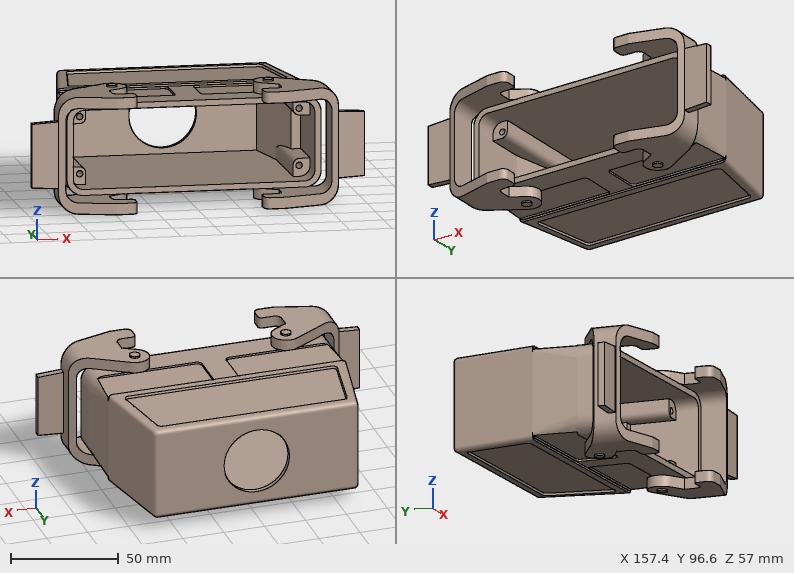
import cadquery as cq
import math


RIM_HALF_WIDTH = 60.1
RIM_HALF_HEIGHT = 21.5
RIM_RADIUS = 7.7
COLLAR_TOP = 11.5
SHOULDER_Y = 34.3
BAND_HEIGHT = 0.5
BLOCK_Y = SHOULDER_Y + BAND_HEIGHT
SHOULDER_HALF_WIDTH = 58.2
SHOULDER_RADIUS = 2.2
BLOCK_HALF_HEIGHT = 22.5
END_Y = 78.5
END_HALF_WIDTH = 49.7
BLOCK_FILLET = 2.0
SIDE_SLOPE = (SHOULDER_HALF_WIDTH - END_HALF_WIDTH) / (END_Y - BLOCK_Y)

CAVITY_HALF_WIDTH = 57.1
CAVITY_HALF_HEIGHT = 18.7
CAVITY_RADIUS = 5.0
CAVITY_FLOOR_Y = 76.2
FLOOR_LEFT_X = -48.3
FLOOR_RIGHT_X = 44.4
CABLE_HOLE_DIAMETER = 32.0

POST_INNER_X = 49.1
POST_INNER_Z = 10.2
POST_RADIUS = 3.0
POST_FACE_Y = COLLAR_TOP
SCREW_X = 52.0
SCREW_Z = 13.5
SCREW_DIAMETER = 3.0
SCREW_DEPTH = 12.6

LABEL_BOTTOM_Y = 39.2
LABEL_TOP_Y = 73.0
LABEL_BOTTOM_HALF_WIDTH = 51.8
LABEL_TOP_HALF_WIDTH = 45.8
LABEL_RADIUS = 1.9
LABEL_DEPTH = 1.1
LABEL_DRAFT = 20
GRIP_BOTTOM_Y = 13.4
GRIP_INNER_X = 6.0
GRIP_RADIUS = 2.4
GRIP_DEPTH = 1.0

PIVOT_X = 37.0
PIVOT_Y = 9.9
PIN_DIAMETER = 4.9
PIN_END_Z = 28.5
EYE_RADIUS = 7.0
LEVER_HALF_HEIGHT = 27.7
ARM_THICKNESS = 5.4
LEVER_END_X = 66.3
BRIDGE_THICKNESS = 3.3
BEND_OUTER_RADIUS = 9.1
BEND_INNER_RADIUS = BEND_OUTER_RADIUS - BRIDGE_THICKNESS
BRIDGE_TOP_Y = 0.3
BRIDGE_BOTTOM_Y = -10.7
HOOK_BOTTOM_Y = -18.1
HOOK_HEEL_X = 40.0
HOOK_TOP_Y = -9.0
HOOK_TOE_RADIUS = 3.0
HOOK_LIP_RADIUS = 1.9
SLOT_X = 40.1
SLOT_RADIUS = 3.0

TAB_END_X = 78.7
TAB_TOP_Y = -7.0
TAB_THICKNESS = 3.5
TAB_ROOT_HALF_HEIGHT = 15.9
TAB_END_HALF_HEIGHT = 15.1


def both_signs(half):
    return (-half, half)


def prism_z(points, z_low, z_high):
    """Outline in the XY plane, extruded from z_low to z_high."""
    return cq.Workplane("XY", origin=(0, 0, z_low)).polyline(points).close().extrude(z_high - z_low)


def mirrored_z(shape):
    return shape.union(shape.mirror("XY"))


def mirrored_x(shape):
    return shape.union(shape.mirror("YZ"))


def rounded_outline(half_width, half_height, radius):
    return cq.Sketch().rect(2 * half_width, 2 * half_height).vertices().fillet(radius)


def make_outer_hood():
    rim = rounded_outline(RIM_HALF_WIDTH, RIM_HALF_HEIGHT, RIM_RADIUS)
    shoulder = rounded_outline(SHOULDER_HALF_WIDTH, RIM_HALF_HEIGHT, SHOULDER_RADIUS)
    collar = cq.Workplane("XZ").placeSketch(rim).extrude(-COLLAR_TOP)
    neck_offset = cq.Location(cq.Vector(0, 0, COLLAR_TOP - SHOULDER_Y))
    neck = (
        cq.Workplane("XZ", origin=(0, COLLAR_TOP, 0))
        .placeSketch(rim, shoulder.moved(neck_offset))
        .loft()
    )
    band = cq.Workplane("XZ", origin=(0, SHOULDER_Y, 0)).placeSketch(shoulder).extrude(-BAND_HEIGHT)
    block = prism_z(
        [
            (-SHOULDER_HALF_WIDTH, BLOCK_Y),
            (SHOULDER_HALF_WIDTH, BLOCK_Y),
            (END_HALF_WIDTH, END_Y),
            (-END_HALF_WIDTH, END_Y),
        ],
        -BLOCK_HALF_HEIGHT,
        BLOCK_HALF_HEIGHT,
    )
    block = block.edges("not(<Y)").fillet(BLOCK_FILLET)
    return collar.union(neck).union(band).union(block)


def make_posts():
    size_x = CAVITY_HALF_WIDTH - POST_INNER_X
    size_z = CAVITY_HALF_HEIGHT - POST_INNER_Z
    post = (
        cq.Workplane("XY")
        .box(size_x, END_Y - POST_FACE_Y, size_z, centered=False)
        .edges("|Y and <X and <Z")
        .fillet(POST_RADIUS)
        .translate((POST_INNER_X, POST_FACE_Y, POST_INNER_Z))
    )
    return mirrored_x(mirrored_z(post))


def make_cavity():
    """Hollow of the hood: both ends slope with the outside, the right one behind a ledge."""
    slope_start_y = CAVITY_FLOOR_Y - (CAVITY_HALF_WIDTH + FLOOR_LEFT_X) / SIDE_SLOPE
    ledge_x = FLOOR_RIGHT_X + SIDE_SLOPE * (CAVITY_FLOOR_Y - SHOULDER_Y)
    hollow = prism_z(
        [
            (-CAVITY_HALF_WIDTH, 0),
            (-CAVITY_HALF_WIDTH, slope_start_y),
            (FLOOR_LEFT_X, CAVITY_FLOOR_Y),
            (FLOOR_RIGHT_X, CAVITY_FLOOR_Y),
            (ledge_x, SHOULDER_Y),
            (CAVITY_HALF_WIDTH, SHOULDER_Y),
            (CAVITY_HALF_WIDTH, 0),
        ],
        -CAVITY_HALF_HEIGHT,
        CAVITY_HALF_HEIGHT,
    )
    hollow = hollow.edges("|Y").fillet(CAVITY_RADIUS)
    return hollow.cut(make_posts())


def make_screw_holes():
    centres = [(x, z) for x in both_signs(SCREW_X) for z in both_signs(SCREW_Z)]
    face = cq.Workplane("XZ", origin=(0, POST_FACE_Y, 0))
    return face.pushPoints(centres).circle(SCREW_DIAMETER / 2).extrude(-SCREW_DEPTH)


def make_label_recesses():
    """Rounded trapezoid with sloping walls, sunk into both broad faces of the block."""
    corners = [
        (-LABEL_BOTTOM_HALF_WIDTH, LABEL_BOTTOM_Y),
        (LABEL_BOTTOM_HALF_WIDTH, LABEL_BOTTOM_Y),
        (LABEL_TOP_HALF_WIDTH, LABEL_TOP_Y),
        (-LABEL_TOP_HALF_WIDTH, LABEL_TOP_Y),
    ]
    floor = cq.Sketch().polygon(corners + corners[:1]).vertices().fillet(LABEL_RADIUS)
    plane = cq.Workplane("XY", origin=(0, 0, BLOCK_HALF_HEIGHT - LABEL_DEPTH))
    return mirrored_z(plane.placeSketch(floor).extrude(LABEL_DEPTH, taper=-LABEL_DRAFT))


def make_grip_recesses():
    """Four panels beside the centre web, open towards the ends of the hood."""
    grip = (
        cq.Workplane("XY")
        .box(RIM_HALF_WIDTH, SHOULDER_Y - GRIP_BOTTOM_Y, GRIP_DEPTH, centered=False)
        .edges("|Z and <X")
        .fillet(GRIP_RADIUS)
        .translate((GRIP_INNER_X, GRIP_BOTTOM_Y, RIM_HALF_HEIGHT - GRIP_DEPTH))
    )
    return mirrored_x(mirrored_z(grip))


def make_hood():
    cable_hole = (
        cq.Workplane("XZ", origin=(0, CAVITY_FLOOR_Y, 0))
        .circle(CABLE_HOLE_DIAMETER / 2)
        .extrude(CAVITY_FLOOR_Y - END_Y)
    )
    hood = make_outer_hood().cut(make_cavity()).cut(cable_hole).cut(make_screw_holes())
    return hood.cut(make_label_recesses()).cut(make_grip_recesses())


def eye_tangent(x, y, turn):
    """Point where the line from (x, y) touches the lever eye; turn = +1 or -1 picks the side."""
    reach = math.hypot(x - PIVOT_X, y - PIVOT_Y)
    angle = math.atan2(y - PIVOT_Y, x - PIVOT_X) + turn * math.acos(EYE_RADIUS / reach)
    return (PIVOT_X + EYE_RADIUS * math.cos(angle), PIVOT_Y + EYE_RADIUS * math.sin(angle))


def make_lever_profile():
    """Side outline of the right lever: eye, bridge edge, hook and slot."""
    hook_tip_x = PIVOT_X - EYE_RADIUS
    upper_tangent = eye_tangent(LEVER_END_X, BRIDGE_TOP_Y, 1)
    lower_tangent = eye_tangent(SLOT_X, 0, -1)
    profile = (
        cq.Workplane("XY", origin=(0, 0, -LEVER_HALF_HEIGHT))
        .moveTo(*upper_tangent)
        .lineTo(LEVER_END_X, BRIDGE_TOP_Y)
        .lineTo(LEVER_END_X, BRIDGE_BOTTOM_Y)
        .lineTo(HOOK_HEEL_X, HOOK_BOTTOM_Y)
        .lineTo(hook_tip_x + HOOK_TOE_RADIUS, HOOK_BOTTOM_Y)
        .radiusArc((hook_tip_x, HOOK_BOTTOM_Y + HOOK_TOE_RADIUS), HOOK_TOE_RADIUS)
        .lineTo(hook_tip_x, HOOK_TOP_Y - HOOK_LIP_RADIUS)
        .radiusArc((hook_tip_x + HOOK_LIP_RADIUS, HOOK_TOP_Y), HOOK_LIP_RADIUS)
        .lineTo(SLOT_X - SLOT_RADIUS, HOOK_TOP_Y)
        .radiusArc((SLOT_X, HOOK_TOP_Y + SLOT_RADIUS), -SLOT_RADIUS)
        .lineTo(SLOT_X, 0)
        .lineTo(*lower_tangent)
        .threePointArc((hook_tip_x, PIVOT_Y), upper_tangent)
        .close()
    )
    return profile.extrude(2 * LEVER_HALF_HEIGHT)


def make_bent_strap():
    """U-shaped strap, thick at the arms and thin at the bridge."""
    top_y = PIVOT_Y + EYE_RADIUS
    depth = top_y - HOOK_BOTTOM_Y

    def bar(end_x, half_height, radius):
        block = cq.Workplane("XY").box(end_x, depth, 2 * half_height, centered=(False, False, True))
        return block.edges("|Y and >X").fillet(radius).translate((0, HOOK_BOTTOM_Y, 0))

    outside = bar(LEVER_END_X, LEVER_HALF_HEIGHT, BEND_OUTER_RADIUS)
    inside_half_height = LEVER_HALF_HEIGHT - ARM_THICKNESS
    inside = bar(LEVER_END_X - BRIDGE_THICKNESS, inside_half_height, BEND_INNER_RADIUS)
    return outside.cut(inside)


def make_tab():
    root_x = LEVER_END_X - BRIDGE_THICKNESS / 2
    return (
        cq.Workplane("XZ", origin=(0, TAB_TOP_Y, 0))
        .polyline(
            [
                (root_x, -TAB_ROOT_HALF_HEIGHT),
                (TAB_END_X, -TAB_END_HALF_HEIGHT),
                (TAB_END_X, TAB_END_HALF_HEIGHT),
                (root_x, TAB_ROOT_HALF_HEIGHT),
            ]
        )
        .close()
        .extrude(TAB_THICKNESS)
    )


def make_pins():
    """Pivot pins, seated in the hood wall and reaching just past the lever arms."""
    seat_z = (CAVITY_HALF_HEIGHT + RIM_HALF_HEIGHT) / 2
    pin = (
        cq.Workplane("XY", origin=(PIVOT_X, PIVOT_Y, seat_z))
        .circle(PIN_DIAMETER / 2)
        .extrude(PIN_END_Z - seat_z)
    )
    return mirrored_z(pin)


def make_lever():
    return make_bent_strap().intersect(make_lever_profile()).union(make_tab()).union(make_pins())


result = make_hood().union(mirrored_x(make_lever()))